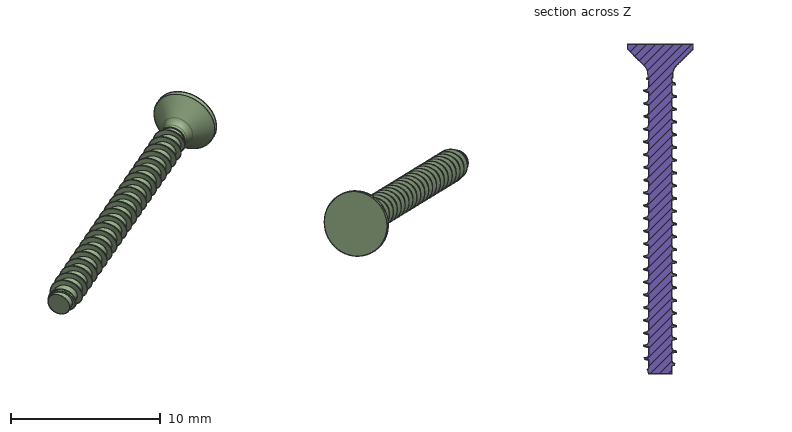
import cadquery as cq
import math


length = 22.0

head_radius = 2.2
rim_height = 0.33
cone_half_angle = math.radians(45)

shank_radius = 0.85
shank_end_depth = 2.25
neck_arc_radius = 0.77
cone_end_radius = shank_radius + neck_arc_radius * (1 - math.cos(cone_half_angle))
cone_end_depth = rim_height + (head_radius - cone_end_radius) / math.tan(cone_half_angle)
neck_end_depth = cone_end_depth + neck_arc_radius * math.sin(cone_half_angle)

core_radius = 0.78

crest_radius = 1.1
crest_width = 0.06
flare_top_radius = 0.85
flank_foot_reach = 0.1
flare_foot_reach = 0.3
foot_radius = core_radius - 0.01
root_radius = core_radius - 0.08
pitch = 0.851
thread_start_depth = 1.815
thread_sweep_length = length - thread_start_depth + flare_foot_reach

run_in_radius = 0.9
run_in_end_depth = 3.0
run_out_start_depth = 20.8
tip_crest_radius = 0.8
trim_radius = 1.5
trim_overrun = 2 * pitch


def revolve_about_axis(outline):
    return outline.revolve(360, (0, 0, 0), (0, 1, 0))


def make_body():
    """Head, neck, shank and plain core as one revolved profile."""
    mid_angle = cone_half_angle / 2
    neck_mid = (
        shank_radius + neck_arc_radius * (1 - math.cos(mid_angle)),
        -neck_end_depth + neck_arc_radius * math.sin(mid_angle),
    )
    outline = (
        cq.Workplane("XY")
        .lineTo(head_radius, 0)
        .lineTo(head_radius, -rim_height)
        .lineTo(cone_end_radius, -cone_end_depth)
        .threePointArc(neck_mid, (shank_radius, -neck_end_depth))
        .lineTo(shank_radius, -shank_end_depth)
        .lineTo(core_radius, -shank_end_depth)
        .lineTo(core_radius, -length)
        .lineTo(0, -length)
        .close()
    )
    return revolve_about_axis(outline)


def make_ridge():
    """Full-height ridge swept along a right-hand helix from inside the shank past the tip."""
    helix = cq.Wire.makeHelix(pitch, thread_sweep_length, root_radius)
    ridge = (
        cq.Workplane("XZ")
        .moveTo(root_radius, -flare_foot_reach)
        .lineTo(foot_radius, -flare_foot_reach)
        .lineTo(flare_top_radius, -flank_foot_reach)
        .lineTo(crest_radius, -crest_width / 2)
        .lineTo(crest_radius, crest_width / 2)
        .lineTo(foot_radius, flank_foot_reach)
        .lineTo(root_radius, flank_foot_reach)
        .close()
        .sweep(cq.Workplane(obj=helix), isFrenet=True)
    )
    return ridge.rotate((0, 0, 0), (1, 0, 0), 90).translate((0, -thread_start_depth, 0))


def make_trim_cap(full_height_depth, end_radius, end_depth, beyond_depth):
    """Cap that tapers the ridge from full height to end_radius and removes it beyond end_depth."""
    outline = (
        cq.Workplane("XY")
        .moveTo(crest_radius, -full_height_depth)
        .lineTo(end_radius, -end_depth)
        .lineTo(0, -end_depth)
        .lineTo(0, -beyond_depth)
        .lineTo(trim_radius, -beyond_depth)
        .lineTo(trim_radius, -full_height_depth)
        .close()
    )
    return revolve_about_axis(outline)


def make_thread():
    """Ridge that grows out of the shank shoulder and fades out at the tip face."""
    run_in_cap = make_trim_cap(
        run_in_end_depth, run_in_radius, shank_end_depth, shank_end_depth - trim_overrun
    )
    run_out_cap = make_trim_cap(
        run_out_start_depth, tip_crest_radius, length, length + trim_overrun
    )
    return make_ridge().cut(run_in_cap).cut(run_out_cap)


result = make_body().union(make_thread())